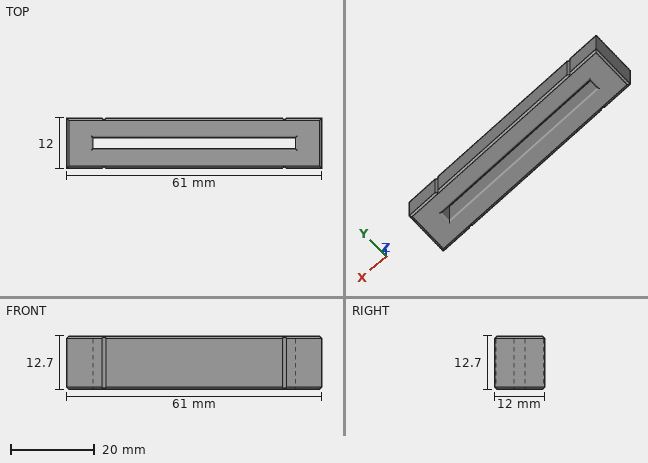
import cadquery as cq

length = 61
width = 12.0
height = 12.7
edge_chamfer = 0.55

slot_length = 48.3
slot_width = 2.6
slot_rim_fillet = 0.5

groove_spacing = 43.05
groove_radius = 0.55
groove_depth = 0.3


def make_slotted_block():
    """Block with chamfered top and bottom edges and a slot with rounded rims."""
    block = cq.Workplane("XY").box(length, width, height)
    block = block.faces("<Z or >Z").chamfer(edge_chamfer)
    slot = cq.Workplane("XY").box(slot_length, slot_width, height)
    block = block.cut(slot)
    rim_zone = cq.selectors.BoxSelector(
        (-slot_length / 2 - slot_rim_fillet, -slot_width, -height),
        (slot_length / 2 + slot_rim_fillet, slot_width, height),
    )
    return block.faces("<Z or >Z").edges(rim_zone).fillet(slot_rim_fillet)


def cut_side_grooves(block):
    """Cut a pair of full-height grooves into each long side."""
    axis_y = width / 2 + groove_radius - groove_depth
    for x in (-groove_spacing / 2, groove_spacing / 2):
        for y in (-axis_y, axis_y):
            groove = cq.Workplane("XY", origin=(x, y, -height / 2)).circle(groove_radius).extrude(height)
            block = block.cut(groove)
    return block


slotted_block = cut_side_grooves(make_slotted_block())

result = cq.Compound.makeCompound([slotted_block.val()])